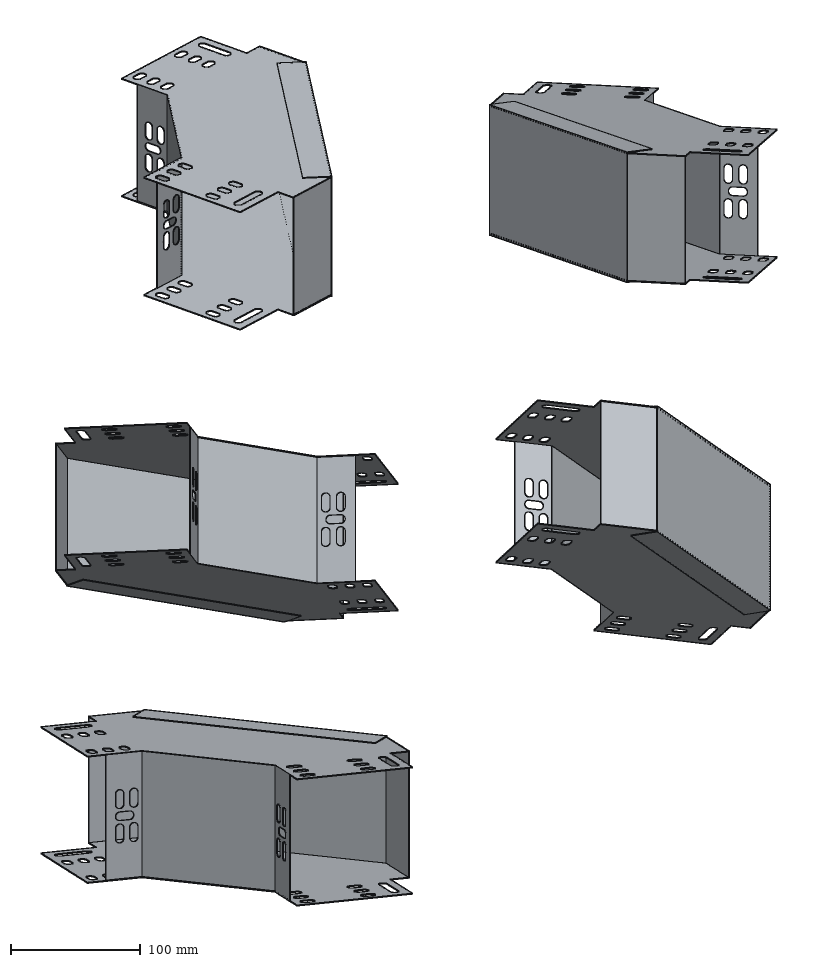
import cadquery as cq
import math

side = 236.3
sheet = 0.8
duct_height = 100.0

inner_edge = 124.3
tongue_edge = 220.5
outer_leg_length = 46.0
inner_bend = 45.4
outer_bend = 92.4
tab_start = 15.4
flange_width = 22.7

slot_width = 6.9
slot_pitch = 13.7
plate_slot_length = 12.0
plate_slot_x = 22.0
plate_slot_rows = (136.3, 186.7)
long_slot_length = 30.7
long_slot_centre = (22.7, 209.8)
tab_slot_length = 15.1
tab_slot_columns = (27.0, 38.7)

tab_cross_slot_x = tab_slot_columns[0] + (tab_slot_length - slot_width) / 2

height = duct_height + 4 * sheet
plate_bottom = sheet
duct_floor = 2 * sheet
duct_ceiling = duct_floor + duct_height
plate_top = height - sheet

corner_shift = sheet * math.tan(math.radians(22.5))


def mirrored(points):
    """Continue a chain of points with its reflection about the line x = y."""
    return points + [(y, x) for x, y in reversed(points)]


def prism(outline, bottom, top):
    return cq.Workplane("XY").workplane(offset=bottom).polyline(outline).close().extrude(top - bottom)


def bent_wall(outer_face, inner_face, bottom, top):
    """A wall of two legs and a diagonal, lying between two chains of points."""
    return prism(mirrored(outer_face) + mirrored(inner_face)[::-1], bottom, top)


def swap_legs(shape):
    """Reflect a shape about the plane x = y."""
    return shape.mirror("XZ").rotate((0, 0, 0), (0, 0, 1), 90)


outer_wall_inside = [
    (outer_leg_length, side - sheet),
    (outer_bend - corner_shift, side - sheet),
]


def plate(bottom):
    tongue = [
        (inner_bend, inner_edge),
        (0, inner_edge),
        (0, tongue_edge),
        (outer_leg_length, tongue_edge),
    ]
    return prism(mirrored(tongue + outer_wall_inside), bottom, bottom + sheet)


def inner_wall():
    open_face = [(tab_start, inner_edge), (inner_bend, inner_edge)]
    duct_face = [(tab_start, inner_edge + sheet), (inner_bend + corner_shift, inner_edge + sheet)]
    return bent_wall(open_face, duct_face, duct_floor, duct_ceiling)


def plate_slots():
    """Slots of one leg, through both plates."""
    columns = [plate_slot_x + step * slot_pitch for step in (-1, 0, 1)]
    spots = [(x, y) for x in columns for y in plate_slot_rows]
    plane = cq.Workplane("XY")
    short_slots = plane.pushPoints(spots).slot2D(plate_slot_length, slot_width, 90).extrude(height)
    long_slot = plane.center(*long_slot_centre).slot2D(long_slot_length, slot_width).extrude(height)
    return short_slots.union(long_slot)


def tab_slots():
    """Slots through one tab of the inner wall: four upright ones and a cross slot between them."""
    spots = [(x, z) for x in tab_slot_columns for z in (-slot_pitch, slot_pitch)]
    plane = cq.Workplane("XZ", origin=(0, inner_edge + sheet, height / 2))
    upright_slots = plane.pushPoints(spots).slot2D(tab_slot_length, slot_width, 90).extrude(sheet)
    cross_slot = plane.center(tab_cross_slot_x, 0).slot2D(tab_slot_length, slot_width).extrude(sheet)
    return upright_slots.union(cross_slot)


def build_channel():
    channel = inner_wall().union(plate(plate_bottom)).union(plate(duct_ceiling))
    for slots in (plate_slots(), tab_slots()):
        channel = channel.cut(slots).cut(swap_legs(slots))
    return channel


def flange(bottom):
    inset = flange_width / math.sqrt(2)
    outline = mirrored([(outer_bend - inset, side - inset), (outer_bend, side)])
    return prism(outline, bottom, bottom + sheet)


def build_outer_wall():
    outside = [(outer_leg_length, side), (outer_bend, side)]
    wall = bent_wall(outside, outer_wall_inside, plate_bottom, plate_top)
    return wall.union(flange(0)).union(flange(plate_top))


channel = build_channel()
outer_wall = build_outer_wall()

result = cq.Compound.makeCompound([channel.solids().val(), outer_wall.solids().val()])